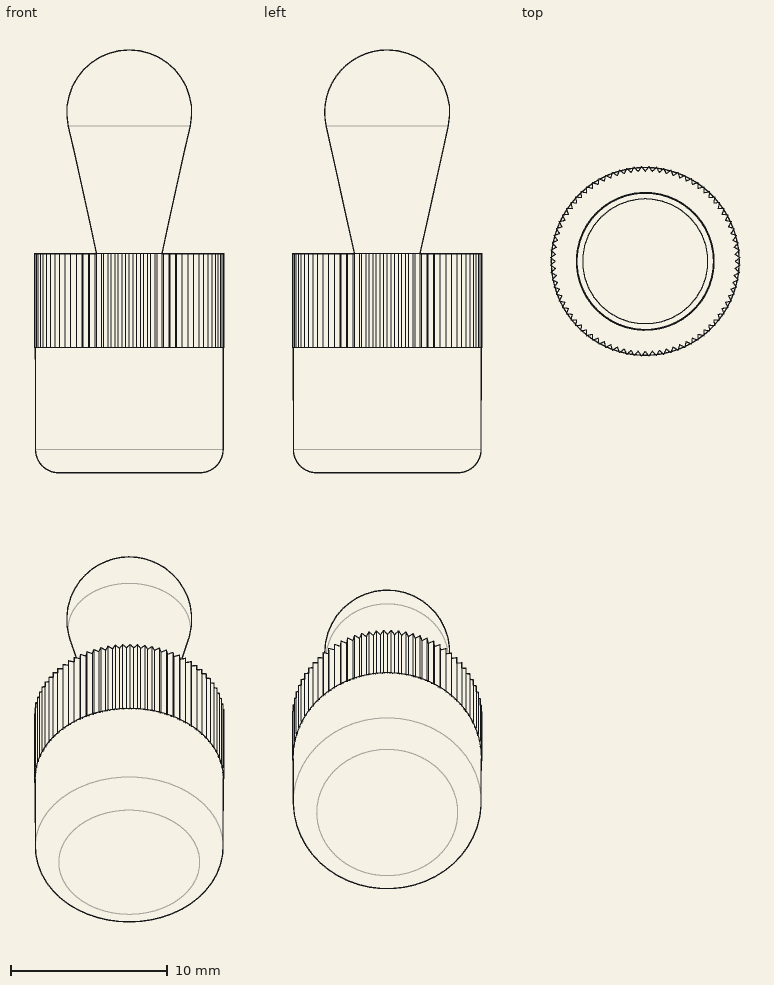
import cadquery as cq
import math

HOUSING_RADIUS = 6.0
HOUSING_HEIGHT = 14.0
BOTTOM_FILLET = 1.5
COLLAR_HEIGHT = 6.0

TOOTH_COUNT = 80
TOOTH_TIP_RADIUS = 6.05
TOOTH_ROOT_RADIUS = 5.75

RECESS_RADIUS = 4.4
SEAL_CLEARANCE = 0.05
SEAL_THICKNESS = 2.0

OVERALL_HEIGHT = 27.0
BALL_RADIUS = 4.0
NECK_HALF_ANGLE = math.radians(12.5)

collar_bottom = HOUSING_HEIGHT - COLLAR_HEIGHT
seal_bottom = HOUSING_HEIGHT - SEAL_THICKNESS
seal_radius = RECESS_RADIUS - SEAL_CLEARANCE

ball_center = OVERALL_HEIGHT - BALL_RADIUS
tangent_z = ball_center - BALL_RADIUS * math.sin(NECK_HALF_ANGLE)
tangent_radius = BALL_RADIUS * math.cos(NECK_HALF_ANGLE)
neck_radius = tangent_radius - (tangent_z - HOUSING_HEIGHT) * math.tan(NECK_HALF_ANGLE)


def polar_point(radius, angle):
    return (radius * math.cos(angle), radius * math.sin(angle))


def make_knurled_collar():
    """Collar with a tooth root on each axis and a tip halfway between roots."""
    pitch = 2 * math.pi / TOOTH_COUNT
    outline = []
    for tooth in range(TOOTH_COUNT):
        outline.append(polar_point(TOOTH_ROOT_RADIUS, tooth * pitch))
        outline.append(polar_point(TOOTH_TIP_RADIUS, (tooth + 0.5) * pitch))
    collar = cq.Workplane("XY").workplane(offset=collar_bottom)
    return collar.polyline(outline).close().extrude(COLLAR_HEIGHT)


def make_housing():
    """Round body and knurled collar, with a recess for the seal and pin shank."""
    body = cq.Workplane("XY").circle(HOUSING_RADIUS).extrude(collar_bottom)
    body = body.faces("<Z").edges().fillet(BOTTOM_FILLET)
    recess = cq.Workplane("XY").workplane(offset=seal_bottom).circle(RECESS_RADIUS).extrude(SEAL_THICKNESS)
    return body.union(make_knurled_collar()).cut(recess)


def make_seal():
    """Flat ring flush with the housing top, bored for the pin shank."""
    seal = cq.Workplane("XY").workplane(offset=seal_bottom)
    return seal.circle(seal_radius).circle(neck_radius).extrude(SEAL_THICKNESS)


def make_pin():
    """Straight shank through the seal, tapered neck and ball head, turned about Z."""
    ball_side = (BALL_RADIUS, ball_center)
    profile = (
        cq.Workplane("YZ")
        .moveTo(0, seal_bottom)
        .lineTo(neck_radius, seal_bottom)
        .lineTo(neck_radius, HOUSING_HEIGHT)
        .lineTo(tangent_radius, tangent_z)
        .threePointArc(ball_side, (0, OVERALL_HEIGHT))
        .close()
    )
    return profile.revolve(360, (0, 0, 0), (0, 1, 0))


housing = make_housing()
seal = make_seal()
pin = make_pin()

result = cq.Compound.makeCompound([housing.val(), seal.val(), pin.val()])